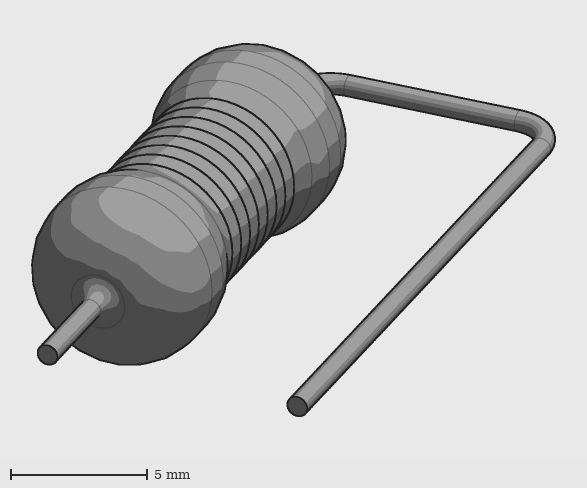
import cadquery as cq
import math

wire_radius = 0.398
lead_pitch = 10.0
bend_radius = 1.6
overall_length = 24.1
top_run_y = overall_length - wire_radius

body_radius = 3.5
waist_radius = 2.976
band_radius = 3.0
body_length = 16.53
body_center_y = 12.85
neck_fillet = 0.67
rim_length = 1.01
shoulder_length = 2.02
band_count = 7

neck_foot_radius = wire_radius + neck_fillet
dome_radius = body_radius - neck_foot_radius
body_half = body_length / 2
neck_half = body_half + neck_fillet
dome_half = body_half - dome_radius
rim_half = dome_half - rim_length
shoulder_mid_half = rim_half - shoulder_length / 2
waist_half = rim_half - shoulder_length
shoulder_mid_radius = (body_radius + waist_radius) / 2
band_width = 2 * waist_half / band_count

arc_rise = body_radius - shoulder_mid_radius
shoulder_arc_radius = ((shoulder_length / 2) ** 2 + arc_rise**2) / (2 * arc_rise)
COS_45 = math.sqrt(0.5)


def make_half_body(side):
    """Revolve one end of the body: side is -1 for low Y, +1 for high Y."""

    def point(radius, distance):
        return (radius, body_center_y + side * distance)

    quarter_chord = shoulder_length / 4
    arc_sag = shoulder_arc_radius - math.sqrt(shoulder_arc_radius**2 - quarter_chord**2)
    profile = (
        cq.Workplane("XY")
        .moveTo(*point(0, 0))
        .lineTo(*point(waist_radius, 0))
        .lineTo(*point(waist_radius, waist_half))
        .threePointArc(
            point(waist_radius + arc_sag, waist_half + quarter_chord),
            point(shoulder_mid_radius, shoulder_mid_half),
        )
        .threePointArc(
            point(body_radius - arc_sag, rim_half - quarter_chord),
            point(body_radius, rim_half),
        )
        .lineTo(*point(body_radius, dome_half))
        .threePointArc(
            point(neck_foot_radius + dome_radius * COS_45, dome_half + dome_radius * COS_45),
            point(neck_foot_radius, body_half),
        )
        .threePointArc(
            point(neck_foot_radius - neck_fillet * COS_45, neck_half - neck_fillet * COS_45),
            point(wire_radius, neck_half),
        )
        .lineTo(*point(0, neck_half))
        .close()
    )
    return profile.revolve(360, (0, 0, 0), (0, 1, 0))


def make_band(index):
    """A thin raised colour band around the waist."""
    start_y = body_center_y - waist_half + index * band_width
    return cq.Workplane("XZ", origin=(0, start_y, 0)).circle(band_radius).extrude(-band_width)


def make_wire():
    """Straight lead through the body, bent over the top and back down beside it."""
    bend_mid = bend_radius * (1 - COS_45)
    bend_y = top_run_y - bend_radius
    path = (
        cq.Workplane("XY")
        .lineTo(0, bend_y)
        .threePointArc((bend_mid, top_run_y - bend_mid), (bend_radius, top_run_y))
        .lineTo(lead_pitch - bend_radius, top_run_y)
        .threePointArc((lead_pitch - bend_mid, top_run_y - bend_mid), (lead_pitch, bend_y))
        .lineTo(lead_pitch, 0)
    )
    return cq.Workplane("XZ").circle(wire_radius).sweep(path)


result = make_half_body(-1).union(make_half_body(1))
for band_index in range(0, band_count, 2):
    result = result.union(make_band(band_index))
result = result.union(make_wire())